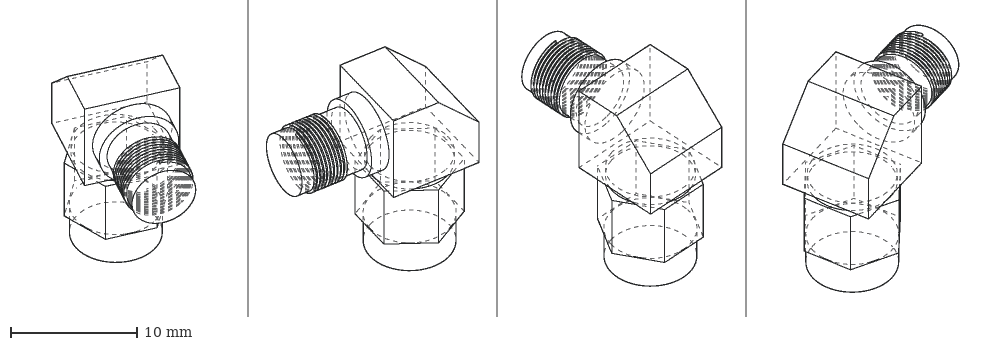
import cadquery as cq

overall_length = 15.75
overall_height = 17.27

block_size = 8.01
block_chamfer = 3.8
half_block = block_size / 2

neck_diameter = 7.15
neck_height = 0.8
nut_corner_diameter = 8.69
nut_height = 5.55
sleeve_diameter = 7.4
sleeve_height = overall_height - block_size - neck_height - nut_height

collar_diameter = 6.67
collar_length = 1.64
barrel_diameter = 5.35
barrel_length = overall_length - block_size - collar_length

thread_start = half_block + 3.54
thread_length = 3.04
thread_turns = 9.5
thread_pitch = thread_length / thread_turns
thread_crest_radius = 2.88
thread_root_width = 0.25
thread_embed = 0.03


def make_block():
    block = cq.Workplane("XY").box(block_size, block_size, block_size)
    return block.edges("<X and >Z").chamfer(block_chamfer)


def make_downward_leg():
    leg = cq.Workplane("XY", origin=(0, 0, -half_block))
    neck = leg.circle(neck_diameter / 2).extrude(-neck_height)
    nut = (
        leg.workplane(offset=-neck_height)
        .transformed(rotate=(0, 0, 90))
        .polygon(6, nut_corner_diameter)
        .extrude(-nut_height)
    )
    sleeve = (
        leg.workplane(offset=-neck_height - nut_height)
        .circle(sleeve_diameter / 2)
        .extrude(-sleeve_height)
    )
    return neck.union(nut).union(sleeve)


def make_sideways_leg():
    leg = cq.Workplane("YZ", origin=(half_block, 0, 0))
    collar = leg.circle(collar_diameter / 2).extrude(collar_length)
    barrel = (
        leg.workplane(offset=collar_length)
        .circle(barrel_diameter / 2)
        .extrude(barrel_length)
    )
    return collar.union(barrel)


def make_thread():
    root_radius = barrel_diameter / 2 - thread_embed
    half_root = thread_root_width / 2
    helix = cq.Wire.makeHelix(thread_pitch, thread_length, root_radius)
    ridge = (
        cq.Workplane("XZ")
        .moveTo(root_radius, -half_root)
        .lineTo(thread_crest_radius, 0)
        .lineTo(root_radius, half_root)
        .close()
        .sweep(cq.Workplane(obj=helix), isFrenet=True)
    )
    ridge = ridge.rotate((0, 0, 0), (0, 1, 0), 90)
    return ridge.translate((thread_start, 0, 0))


result = make_block().union(make_downward_leg()).union(make_sideways_leg()).union(make_thread())